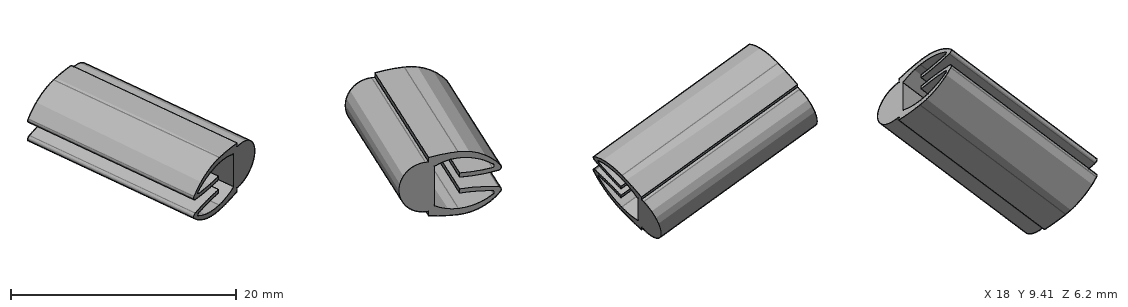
import cadquery as cq
import math

length = 18.0
bulb_radius = 2.43
half_height = 3.1

step_y = -0.29
step_z = 2.86
crown_y = -2.99
front_outer_radius = 5.13
tip_radius = 0.3

lip_end_y = -3.13
lip_level_y = -3.89
lip_level_z = 0.55
lip_thickness = 0.41
lip_outer_radius = 16.74

cavity_wall_y = -0.81
cavity_wall_z = 1.93
cavity_crown_y = -3.02
cavity_crown_z = 2.48
cavity_front_radius = 5.5
cavity_tip_radius = 0.18


def crown_arc_radius(run, drop):
    """Radius of an arc that is level at the crown and falls by drop over run."""
    return (run**2 + drop**2) / (2 * drop)


def on_circle(center, radius, direction):
    """Point of a circle in the given (not necessarily unit) direction."""
    scale = radius / math.hypot(*direction)
    return (center[0] + direction[0] * scale, center[1] + direction[1] * scale)


def arc_middle(center, radius, start, end):
    """Middle of the shorter arc from start to end."""
    toward = (start[0] + end[0] - 2 * center[0], start[1] + end[1] - 2 * center[1])
    return on_circle(center, radius, toward)


def tangent_tip(upper_center, upper_radius, lower_center, lower_radius, radius):
    """Center and two tangent points of a round tip lying inside both circles."""
    upper_reach = upper_radius - radius
    lower_reach = lower_radius - radius
    dy = lower_center[0] - upper_center[0]
    dz = lower_center[1] - upper_center[1]
    spacing = math.hypot(dy, dz)
    along = (upper_reach**2 - lower_reach**2 + spacing**2) / (2 * spacing)
    aside = math.sqrt(upper_reach**2 - along**2)
    center = (
        upper_center[0] + (along * dy - aside * dz) / spacing,
        upper_center[1] + (along * dz + aside * dy) / spacing,
    )
    touches = [
        on_circle(arc_center, arc_radius, (center[0] - arc_center[0], center[1] - arc_center[1]))
        for arc_center, arc_radius in ((upper_center, upper_radius), (lower_center, lower_radius))
    ]
    return center, touches[0], touches[1]


crown = (crown_y, half_height)
step_top = (step_y, step_z)
rear_outer_radius = crown_arc_radius(step_y - crown_y, half_height - step_z)
rear_outer_center = (crown_y, half_height - rear_outer_radius)
front_outer_center = (crown_y, half_height - front_outer_radius)

lip_center = (lip_level_y, lip_level_z + lip_outer_radius)
lip_inner_radius = lip_outer_radius - lip_thickness
lip_end_offset = lip_end_y - lip_level_y
lip_end_top = (lip_end_y, lip_center[1] - math.sqrt(lip_inner_radius**2 - lip_end_offset**2))
lip_end_bottom = (lip_end_y, lip_center[1] - math.sqrt(lip_outer_radius**2 - lip_end_offset**2))


cavity_crown = (cavity_crown_y, cavity_crown_z)
cavity_corner = (cavity_wall_y, cavity_wall_z)
cavity_rear_radius = crown_arc_radius(
    cavity_crown_y - cavity_wall_y, cavity_crown_z - cavity_wall_z
)
cavity_rear_center = (cavity_crown_y, cavity_crown_z - cavity_rear_radius)
cavity_front_center = (cavity_crown_y, cavity_crown_z - cavity_front_radius)

tip_center, tip_top, tip_bottom = tangent_tip(
    front_outer_center, front_outer_radius, lip_center, lip_outer_radius, tip_radius
)
cavity_tip_center, cavity_tip_top, cavity_tip_bottom = tangent_tip(
    cavity_front_center, cavity_front_radius, lip_center, lip_inner_radius, cavity_tip_radius
)


def add_arc(outline, center, radius, start, end):
    return outline.threePointArc(arc_middle(center, radius, start, end), end)


def make_upper_half():
    bulb_rear = (bulb_radius, 0)
    bulb_top = (0, bulb_radius)
    outline = cq.Workplane("YZ").moveTo(*bulb_rear)
    outline = add_arc(outline, (0, 0), bulb_radius, bulb_rear, bulb_top)
    outline = outline.lineTo(step_y, bulb_radius).lineTo(*step_top)
    outline = add_arc(outline, rear_outer_center, rear_outer_radius, step_top, crown)
    outline = add_arc(outline, front_outer_center, front_outer_radius, crown, tip_top)
    outline = outline.threePointArc((tip_center[0] - tip_radius, tip_center[1]), tip_bottom)
    outline = add_arc(outline, lip_center, lip_outer_radius, tip_bottom, lip_end_bottom)
    outline = outline.lineTo(*lip_end_top)
    outline = add_arc(outline, lip_center, lip_inner_radius, lip_end_top, cavity_tip_bottom)
    cavity_tip_front = (cavity_tip_center[0] - cavity_tip_radius, cavity_tip_center[1])
    outline = outline.threePointArc(cavity_tip_front, cavity_tip_top)
    outline = add_arc(outline, cavity_front_center, cavity_front_radius, cavity_tip_top, cavity_crown)
    outline = add_arc(outline, cavity_rear_center, cavity_rear_radius, cavity_crown, cavity_corner)
    outline = outline.lineTo(cavity_wall_y, 0).close()
    return outline.extrude(length)


upper_half = make_upper_half()
result = upper_half.union(upper_half.mirror("XY")).clean()